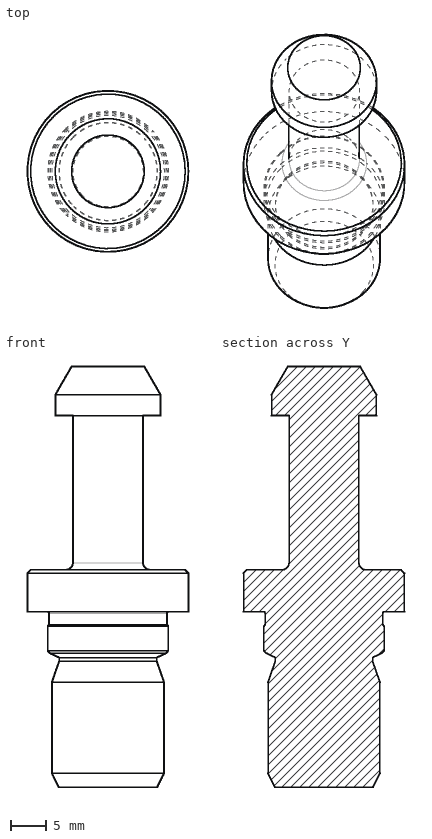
import cadquery as cq
import math

total_length = 60.0

thread_radius = 8.01
thread_top = 15.0
thread_tip_radius = 7.0
thread_chamfer_height = 2.0

neck_radius = 6.95
neck_bottom = 18.0
neck_top = 18.5

collar_radius = 8.61
collar_bottom = 19.1
collar_chamfer = 0.35
collar_top = 23.15
collar_top_chamfer = 0.2
relief_radius = 8.43
relief_fillet = 0.25

flange_radius = 11.49
flange_bottom = 25.0
flange_top = 31.0
flange_edge_chamfer = 0.5

shank_radius = 5.01
shank_fillet = 1.0

head_radius = 7.5
head_bottom = 53.0
cone_height = 4.0
cone_half_angle = math.radians(30)
head_top_radius = head_radius - cone_height * math.tan(cone_half_angle)


def fillet_midpoint(centre_x, centre_z, radius, side):
    """Middle of a quarter round whose arc faces the axis; side is +1 up, -1 down."""
    offset = radius * math.sqrt(0.5)
    return (centre_x - offset, centre_z + side * offset)


relief_fillet_x = relief_radius + relief_fillet
relief_fillet_z = flange_bottom - relief_fillet
shank_fillet_x = shank_radius + shank_fillet
shank_fillet_z = flange_top + shank_fillet

profile = (
    cq.Workplane("XZ")
    .lineTo(thread_tip_radius, 0)
    .lineTo(thread_radius, thread_chamfer_height)
    .lineTo(thread_radius, thread_top)
    .lineTo(neck_radius, neck_bottom)
    .lineTo(neck_radius, neck_top)
    .lineTo(collar_radius - collar_chamfer, collar_bottom)
    .lineTo(collar_radius, collar_bottom + collar_chamfer)
    .lineTo(collar_radius, collar_top - collar_top_chamfer)
    .lineTo(relief_radius, collar_top)
    .lineTo(relief_radius, relief_fillet_z)
    .threePointArc(
        fillet_midpoint(relief_fillet_x, relief_fillet_z, relief_fillet, 1),
        (relief_fillet_x, flange_bottom),
    )
    .lineTo(flange_radius, flange_bottom)
    .lineTo(flange_radius, flange_top - flange_edge_chamfer)
    .lineTo(flange_radius - flange_edge_chamfer, flange_top)
    .lineTo(shank_fillet_x, flange_top)
    .threePointArc(
        fillet_midpoint(shank_fillet_x, shank_fillet_z, shank_fillet, -1),
        (shank_radius, shank_fillet_z),
    )
    .lineTo(shank_radius, head_bottom)
    .lineTo(head_radius, head_bottom)
    .lineTo(head_radius, total_length - cone_height)
    .lineTo(head_top_radius, total_length)
    .lineTo(0, total_length)
    .close()
)

result = profile.revolve(360, (0, 0, 0), (0, 1, 0))